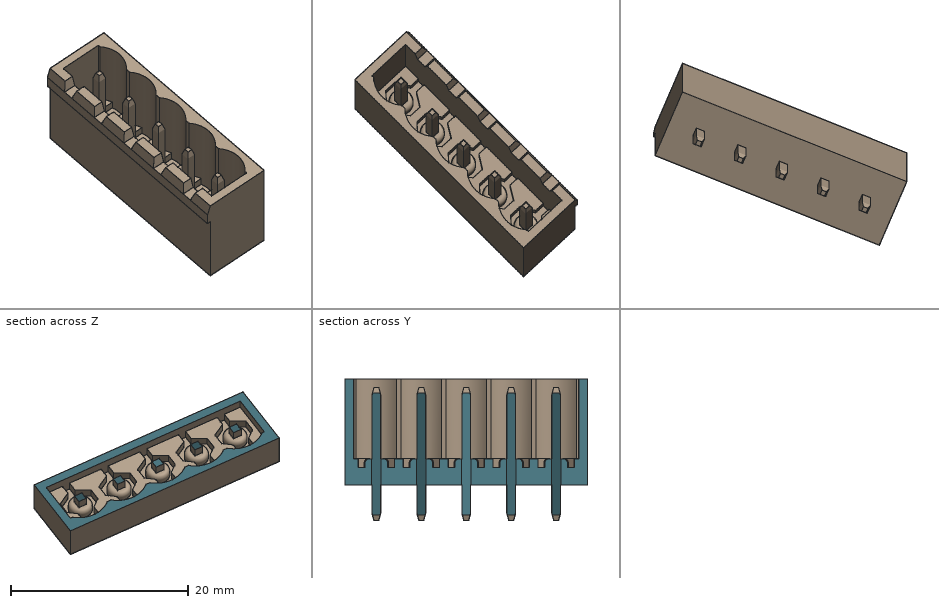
import cadquery as cq

LENGTH = 27.4
HEIGHT = 12.0
BACK_Y = 3.8
FRONT_Y = -4.27
LIP_REACH = 0.4
LIP_HEIGHT = 2.75
LIP_CHAMFER_HEIGHT = 1.23

CONTACT_COUNT = 5
PITCH = 5.07
CONTACT_XS = [(i - (CONTACT_COUNT - 1) / 2) * PITCH for i in range(CONTACT_COUNT)]

END_WALL = 1.01
FRONT_WALL = 1.1
BACK_WALL = 1.73
BACK_WALL_AT_ARC = 0.82
CAVITY_FRONT_Y = FRONT_Y + FRONT_WALL
CAVITY_BACK_Y = BACK_Y - BACK_WALL
ARC_TOP_Y = BACK_Y - BACK_WALL_AT_ARC
ARC_HALF_CHORD = 2.27
FLOOR_Z = 3.01

RECESS_DEPTH = 1.0
RECESS_FRONT_HALF = 0.47
RECESS_MIDDLE_HALF = 2.03
RECESS_BACK_HALF = 1.01
RECESS_FRONT_NECK_Y = -1.97
RECESS_FRONT_SHOULDER_Y = -1.05
RECESS_BACK_SHOULDER_Y = 0.45
RECESS_BACK_NECK_Y = 1.3
RECESS_FLOOR_Z = FLOOR_Z - RECESS_DEPTH

BOSS_DIAMETER = 2.75
BOSS_HEIGHT = 1.0
BOSS_FILLET = 0.5

SLOT_TOP_WIDTH = 2.0
SLOT_FLOOR_WIDTH = 1.2
SLOT_DEPTH = LIP_CHAMFER_HEIGHT

PIN_WIDTH = 1.01
PIN_TIP_WIDTH = 0.55
PIN_TOP_DROP = 1.0
PIN_TOP_Z = HEIGHT - PIN_TOP_DROP
PIN_PROTRUSION = 4.0
PIN_BOTTOM_Z = -PIN_PROTRUSION
PIN_TAPER_HEIGHT = 0.85


def make_shell():
    """Solid block with the chamfered latching lip along its front top edge."""
    lip_y = FRONT_Y - LIP_REACH
    profile = [
        (BACK_Y, 0),
        (BACK_Y, HEIGHT),
        (FRONT_Y, HEIGHT),
        (lip_y, HEIGHT - LIP_CHAMFER_HEIGHT),
        (lip_y, HEIGHT - LIP_HEIGHT),
        (FRONT_Y, HEIGHT - LIP_HEIGHT),
        (FRONT_Y, 0),
    ]
    return cq.Workplane("YZ").polyline(profile).close().extrude(LENGTH / 2, both=True)


def cavity_outline(z):
    """Cavity outline at height z: straight ends and front, scalloped back."""
    half_length = LENGTH / 2 - END_WALL
    outline = (
        cq.Workplane("XY", origin=(0, 0, z))
        .moveTo(half_length, CAVITY_FRONT_Y)
        .lineTo(-half_length, CAVITY_FRONT_Y)
        .lineTo(-half_length, CAVITY_BACK_Y)
    )
    for x in CONTACT_XS:
        outline = outline.lineTo(x - ARC_HALF_CHORD, CAVITY_BACK_Y).threePointArc(
            (x, ARC_TOP_Y), (x + ARC_HALF_CHORD, CAVITY_BACK_Y)
        )
    return outline.lineTo(half_length, CAVITY_BACK_Y).close()


def make_cavity():
    return cavity_outline(FLOOR_Z).extrude(HEIGHT - FLOOR_Z)


def make_floor_recesses():
    """Floor recesses, running from the front cavity wall to the back arcs."""
    right_side = [
        (RECESS_FRONT_HALF, CAVITY_FRONT_Y),
        (RECESS_FRONT_HALF, RECESS_FRONT_NECK_Y),
        (RECESS_MIDDLE_HALF, RECESS_FRONT_SHOULDER_Y),
        (RECESS_MIDDLE_HALF, RECESS_BACK_SHOULDER_Y),
        (RECESS_BACK_HALF, RECESS_BACK_NECK_Y),
        (RECESS_BACK_HALF, BACK_Y),
    ]
    left_side = [(-x, y) for x, y in reversed(right_side)]
    recesses = cq.Workplane("XY")
    for x in CONTACT_XS:
        recess = (
            cq.Workplane("XY", origin=(x, 0, RECESS_FLOOR_Z))
            .polyline(right_side + left_side)
            .close()
            .extrude(RECESS_DEPTH)
        )
        recesses = recesses.add(recess)
    trim = cavity_outline(RECESS_FLOOR_Z).extrude(RECESS_DEPTH)
    return trim.intersect(recesses.combine())


def make_boss(x):
    return (
        cq.Workplane("XY", origin=(x, 0, RECESS_FLOOR_Z))
        .circle(BOSS_DIAMETER / 2)
        .extrude(BOSS_HEIGHT)
        .faces(">Z")
        .edges()
        .fillet(BOSS_FILLET)
    )


def make_slot(x):
    """Coding slot with sloping sides, through the front wall and lip."""
    floor_z = HEIGHT - SLOT_DEPTH
    profile = [
        (-SLOT_FLOOR_WIDTH / 2, floor_z),
        (SLOT_FLOOR_WIDTH / 2, floor_z),
        (SLOT_TOP_WIDTH / 2, HEIGHT),
        (-SLOT_TOP_WIDTH / 2, HEIGHT),
    ]
    slot_length = FRONT_WALL + LIP_REACH
    return cq.Workplane("XZ", origin=(x, CAVITY_FRONT_Y, 0)).polyline(profile).close().extrude(slot_length)


def make_pin_tip(x, base_z, tip_z):
    """Square taper from the pin width at base_z to the tip width at tip_z."""
    return (
        cq.Workplane("XY", origin=(x, 0, base_z))
        .rect(PIN_WIDTH, PIN_WIDTH)
        .workplane(offset=tip_z - base_z)
        .rect(PIN_TIP_WIDTH, PIN_TIP_WIDTH)
        .loft()
    )


def make_pin(x):
    shank_bottom = PIN_BOTTOM_Z + PIN_TAPER_HEIGHT
    shank_top = PIN_TOP_Z - PIN_TAPER_HEIGHT
    shank = (
        cq.Workplane("XY", origin=(x, 0, shank_bottom))
        .rect(PIN_WIDTH, PIN_WIDTH)
        .extrude(shank_top - shank_bottom)
    )
    top_tip = make_pin_tip(x, shank_top, PIN_TOP_Z)
    bottom_tip = make_pin_tip(x, shank_bottom, PIN_BOTTOM_Z)
    return shank.union(top_tip).union(bottom_tip)


def make_housing(pins):
    """Shell with cavity, recesses, bosses, slots and a fitting hole for each pin."""
    housing = make_shell().cut(make_cavity()).cut(make_floor_recesses())
    for x, pin in zip(CONTACT_XS, pins):
        housing = housing.union(make_boss(x)).cut(make_slot(x)).cut(pin)
    return housing


pins = [make_pin(x) for x in CONTACT_XS]
housing = make_housing(pins)

result = cq.Compound.makeCompound([housing.val(), *[pin.val() for pin in pins]])